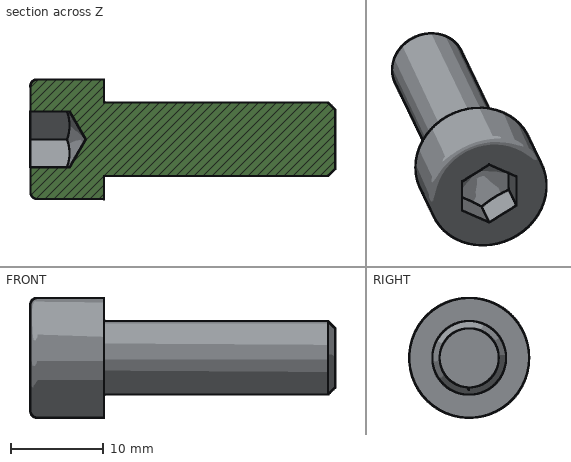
import cadquery as cq
import math

total_length = 33.0
head_diameter = 13.0
head_height = 8.0
shank_diameter = 8.0
head_edge_radius = 0.8

tip_chamfer = 0.8

neck_radius = 0.1

socket_width = 6.0
socket_depth = 4.0
socket_cone_angle = 120.0

head_face_x = -total_length / 2


def make_body():
    """Head and shank as one stepped cylinder with softened edges."""
    head = (
        cq.Workplane("YZ", origin=(head_face_x, 0, 0))
        .circle(head_diameter / 2)
        .extrude(head_height)
        .faces("<X").edges().fillet(head_edge_radius)
    )
    shank_start = head_face_x + head_height
    tip_x = head_face_x + total_length
    shank_radius = shank_diameter / 2
    shank = (
        cq.Workplane("XY")
        .moveTo(shank_start, 0)
        .lineTo(shank_start, shank_radius + neck_radius)
        .radiusArc((shank_start + neck_radius, shank_radius), -neck_radius)
        .lineTo(tip_x - tip_chamfer, shank_radius)
        .lineTo(tip_x, shank_radius - tip_chamfer)
        .lineTo(tip_x, 0)
        .close()
        .revolve(360, (0, 0, 0), (1, 0, 0))
    )
    return head.union(shank)


def make_socket():
    """Hexagonal prism with two corners along Z, ending in a cone through its corners."""
    corner_radius = socket_width / math.sqrt(3)
    cone_height = corner_radius / math.tan(math.radians(socket_cone_angle / 2))
    floor_x = head_face_x + socket_depth
    prism = (
        cq.Workplane("YZ", origin=(head_face_x, 0, 0))
        .transformed(rotate=(0, 0, 90))
        .polygon(6, 2 * corner_radius)
        .extrude(socket_depth + cone_height)
    )
    envelope = (
        cq.Workplane("XY")
        .moveTo(head_face_x, 0)
        .lineTo(head_face_x, corner_radius)
        .lineTo(floor_x, corner_radius)
        .lineTo(floor_x + cone_height, 0)
        .close()
        .revolve(360, (0, 0, 0), (1, 0, 0))
    )
    return prism.intersect(envelope)


result = make_body().cut(make_socket())